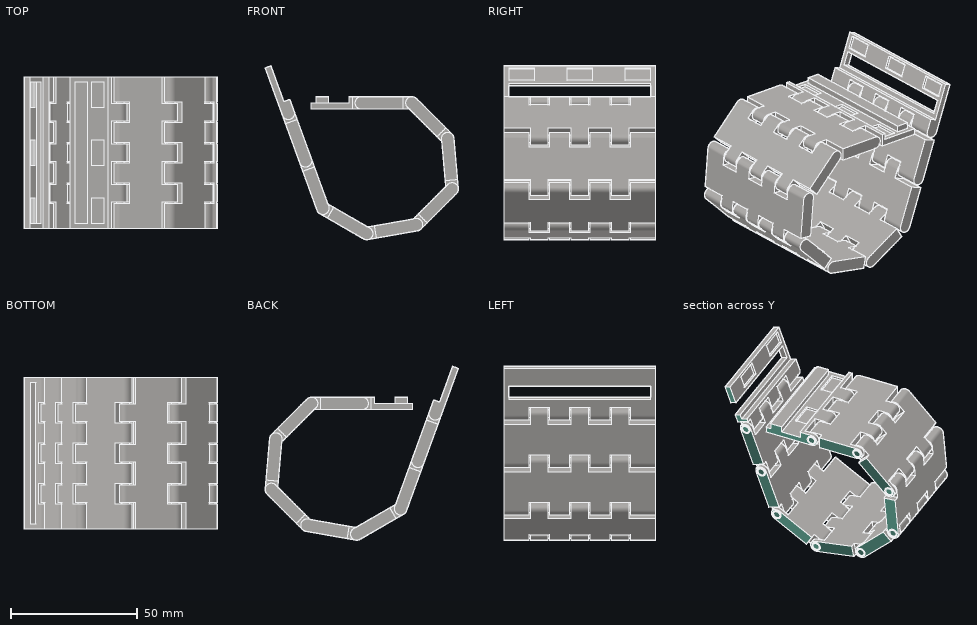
import cadquery as cq
import math


band_width = 60.0
link_pitch = band_width / 3
thickness = link_pitch / 4
radius = thickness / 2
link_turns = [0, 45, 40, 50, 35, 40, 40, 0]

tongue_count = 3
tongue_spacing = 16.0
tongue_width = 7.05
slot_width = 8.0
hinge_reach = 3.5
pin_diameter = 3.0
pin_hole_diameter = 3.5

end_length = link_pitch
end_step = 5.0
edge_margin = 2.0
bar_length = band_width - 2 * edge_margin
bar_start = 13.0
bar_end = 18.0
strap_slot_start = 7.0
strap_slot_end = 12.5

pocket_size = 5.0
pocket_length = 10.0
pocket_depth = 1.0
pocket_count = 3
pocket_spacing = (bar_length - pocket_length) / (pocket_count - 1)
clasp_pocket_start = 6.5
strap_pocket_start = 14.0


def block(x_start, x_end, z_start, z_end, width=band_width):
    """A box centred across the band."""
    return cq.Workplane("XY").box(
        x_end - x_start, width, z_end - z_start, centered=(False, True, False)
    ).translate((x_start, 0, z_start))


def plate(x_start, x_end, width=band_width):
    """A box of the full band thickness."""
    return block(x_start, x_end, -radius, radius, width)


def cross_cylinder(diameter, length, x=0):
    """A cylinder along Y, centred across the band."""
    return cq.Workplane("XZ").circle(diameter / 2).extrude(length / 2, both=True).translate((x, 0, 0))


def across(shape, count, spacing):
    """Copies of a shape in an even row across the band."""
    row = cq.Workplane("XY")
    for i in range(count):
        row = row.add(shape.translate((0, (i - (count - 1) / 2) * spacing, 0)))
    return row.combine()


def with_fork(body):
    """Round the end at X = 0, cut the tongue slots and put a pin across each slot."""
    slot = plate(-radius, hinge_reach, slot_width)
    pin = cross_cylinder(pin_diameter, slot_width)
    return (
        body.union(cross_cylinder(thickness, band_width))
        .cut(across(slot, tongue_count, tongue_spacing))
        .union(across(pin, tongue_count, tongue_spacing))
    )


def with_tongues(body, x_hinge):
    """Add round-ended tongues, bored for the next link's pins, around the hinge at x_hinge."""
    tongue = (
        plate(x_hinge - hinge_reach, x_hinge, tongue_width)
        .union(cross_cylinder(thickness, tongue_width, x_hinge))
        .cut(cross_cylinder(pin_hole_diameter, tongue_width, x_hinge))
    )
    return body.union(across(tongue, tongue_count, tongue_spacing))


def magnet_pockets(x_start, z_start):
    pocket = block(x_start, x_start + pocket_size, z_start, z_start + pocket_depth, pocket_length)
    return across(pocket, pocket_count, pocket_spacing)


def make_clasp():
    """First body: a half-thickness tray with a raised bar, ending in tongues at X = 0."""
    body = (
        block(-end_length, -hinge_reach, -radius, 0)
        .union(block(-end_step, -hinge_reach, -radius, radius))
        .union(block(-bar_end, -bar_start, -radius, radius, bar_length))
        .cut(magnet_pockets(-clasp_pocket_start - pocket_size, -pocket_depth))
    )
    return with_tongues(body, 0)


def make_link():
    """Middle link: fork and pins at X = 0, tongues at the far hinge."""
    body = with_fork(plate(0, link_pitch - hinge_reach))
    return with_tongues(body, link_pitch)


def make_strap_end():
    """Last body: fork and pins at X = 0, then an outer half-thickness strap with a slot for the bar."""
    body = (
        plate(0, end_step)
        .union(block(0, end_length, 0, radius))
        .cut(plate(strap_slot_start, strap_slot_end, bar_length))
        .cut(magnet_pockets(strap_pocket_start, 0))
    )
    return with_fork(body)


def place(body, x, z, heading):
    """Move a body's hinge to (x, z) and turn it clockwise by its heading in degrees."""
    return body.rotate((0, 0, 0), (0, 1, 0), heading).translate((x, 0, z))


clasp = make_clasp()
links = []
hinge_x = 0
hinge_z = 0
heading = 0
for turn in link_turns:
    heading += turn
    links.append(place(make_link(), hinge_x, hinge_z, heading))
    hinge_x += link_pitch * math.cos(math.radians(heading))
    hinge_z -= link_pitch * math.sin(math.radians(heading))
strap_end = place(make_strap_end(), hinge_x, hinge_z, heading)

result = cq.Compound.makeCompound(
    [clasp.val(), *[link.val() for link in links], strap_end.val()]
)